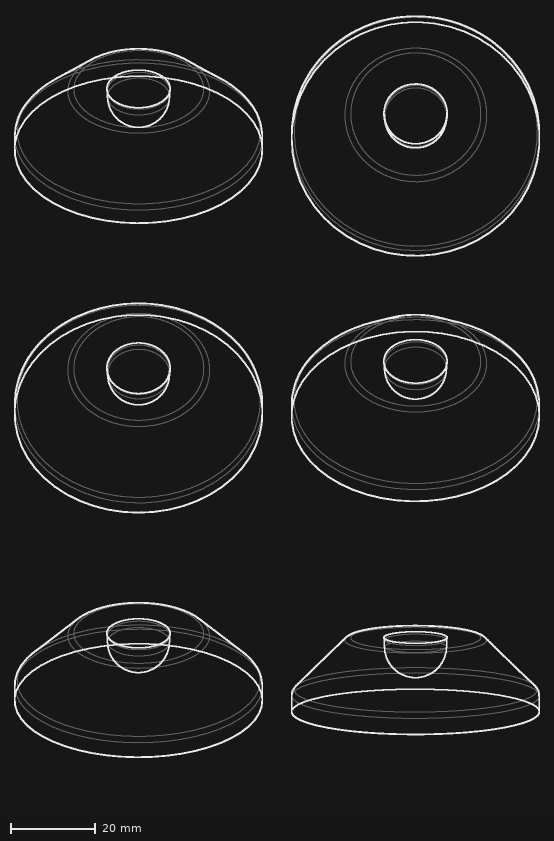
import cadquery as cq

base_diameter = 59.0
height = 18.0
corner_height = 4.8
edge_radius = 2.0

bore_diameter = 14.8
bore_depth = 2.2
mouth_chamfer_width = 0.15
mouth_chamfer_depth = 0.5

base_radius = base_diameter / 2
bore_radius = bore_diameter / 2
top_radius = base_radius - (height - corner_height)


def make_body():
    """Solid of revolution: short rim, conical flank and flat top, with rounded corners."""
    profile = (
        cq.Workplane("XZ")
        .moveTo(0, 0)
        .lineTo(base_radius, 0)
        .lineTo(base_radius, corner_height)
        .lineTo(top_radius, height)
        .lineTo(0, height)
        .close()
    )
    body = profile.revolve(360, (0, 0, 0), (0, 1, 0))
    body = body.faces(">Z").edges().fillet(edge_radius)
    margin = edge_radius / 2
    reach = base_radius + margin
    rim_edge = cq.selectors.BoxSelector(
        (-reach, -reach, corner_height - margin),
        (reach, reach, corner_height + margin),
        boundingbox=True,
    )
    return body.edges(rim_edge).fillet(edge_radius)


def make_socket():
    """Cutter for the socket: chamfered mouth, straight bore and hemispherical bowl."""
    bowl_center_height = height - bore_depth
    mouth_radius = bore_radius + mouth_chamfer_width
    profile = (
        cq.Workplane("XZ")
        .moveTo(0, height)
        .lineTo(mouth_radius, height)
        .lineTo(bore_radius, height - mouth_chamfer_depth)
        .lineTo(bore_radius, bowl_center_height)
        .radiusArc((0, bowl_center_height - bore_radius), bore_radius)
        .close()
    )
    return profile.revolve(360, (0, 0, 0), (0, 1, 0))


result = make_body().cut(make_socket())